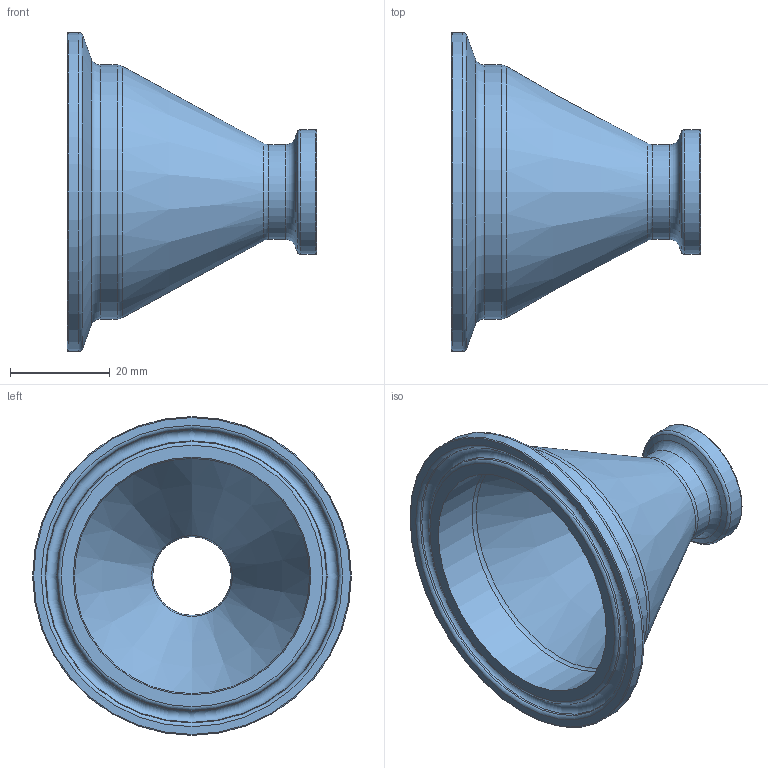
import cadquery as cq
import math

LENGTH = 50.0
WALL = 1.65
LARGE_TUBE_RADIUS = 25.5
SMALL_TUBE_RADIUS = 9.525
LARGE_BORE_RADIUS = LARGE_TUBE_RADIUS - WALL
SMALL_BORE_RADIUS = SMALL_TUBE_RADIUS - WALL

LARGE_FLANGE_RADIUS = 32.0
SMALL_FLANGE_RADIUS = 12.5
LARGE_RIM_WIDTH = 2.85
SMALL_RIM_WIDTH = 3.7
CLAMP_ANGLE = math.radians(20)
LARGE_RIM_FILLET = 0.85
SMALL_RIM_FILLET = 0.7
NECK_FILLET = 2.0
FACE_EDGE_FILLET = 0.2

CONE_START = 10.5
CONE_END = 39.9
CONE_FILLET = 2.0

GROOVE_RADIUS = 28.25
GROOVE_FLANK_ANGLE = math.radians(70)
GROOVE_MOUTH_HALF_WIDTH = 1.44
GROOVE_LIP_FILLET = 0.8
GROOVE_FLOOR_FILLET = 1.2
GROOVE_V_DEPTH = GROOVE_MOUTH_HALF_WIDTH * math.tan(GROOVE_FLANK_ANGLE)

CONE_ANGLE = math.atan2(LARGE_TUBE_RADIUS - SMALL_TUBE_RADIUS, CONE_END - CONE_START)
INNER_CONE_SHIFT = WALL * math.tan(CONE_ANGLE / 2)


def neck_position(rim_width, flange_radius, tube_radius):
    """Distance from a ferrule face to the sharp corner of clamp flank and tube."""
    return rim_width + (flange_radius - tube_radius) * math.tan(CLAMP_ANGLE)


def groove_corners():
    """Gasket groove corners, from the inner lip outwards."""
    return [
        (0, GROOVE_RADIUS - GROOVE_MOUTH_HALF_WIDTH, GROOVE_LIP_FILLET),
        (GROOVE_V_DEPTH, GROOVE_RADIUS, GROOVE_FLOOR_FILLET),
        (0, GROOVE_RADIUS + GROOVE_MOUTH_HALF_WIDTH, GROOVE_LIP_FILLET),
    ]


def outer_corners():
    """Outside corners from the large face to the small face."""
    large_neck = neck_position(LARGE_RIM_WIDTH, LARGE_FLANGE_RADIUS, LARGE_TUBE_RADIUS)
    small_neck = neck_position(SMALL_RIM_WIDTH, SMALL_FLANGE_RADIUS, SMALL_TUBE_RADIUS)
    return [
        (0, LARGE_FLANGE_RADIUS, FACE_EDGE_FILLET),
        (LARGE_RIM_WIDTH, LARGE_FLANGE_RADIUS, LARGE_RIM_FILLET),
        (large_neck, LARGE_TUBE_RADIUS, NECK_FILLET),
        (CONE_START, LARGE_TUBE_RADIUS, CONE_FILLET),
        (CONE_END, SMALL_TUBE_RADIUS, CONE_FILLET),
        (LENGTH - small_neck, SMALL_TUBE_RADIUS, NECK_FILLET),
        (LENGTH - SMALL_RIM_WIDTH, SMALL_FLANGE_RADIUS, SMALL_RIM_FILLET),
        (LENGTH, SMALL_FLANGE_RADIUS, FACE_EDGE_FILLET),
    ]


def bore_corners():
    """Bore corners from the small face back to the large face."""
    return [
        (LENGTH, SMALL_BORE_RADIUS, 0),
        (CONE_END - INNER_CONE_SHIFT, SMALL_BORE_RADIUS, CONE_FILLET),
        (CONE_START - INNER_CONE_SHIFT, LARGE_BORE_RADIUS, CONE_FILLET),
        (0, LARGE_BORE_RADIUS, 0),
    ]


def rounded_corner(before, corner, after):
    """Start, middle and end points of the tangent arc that rounds a corner."""
    here = cq.Vector(corner[0], corner[1])
    to_before = (cq.Vector(before[0], before[1]) - here).normalized()
    to_after = (cq.Vector(after[0], after[1]) - here).normalized()
    fillet = corner[2]
    half_angle = to_before.getAngle(to_after) / 2
    setback = fillet / math.tan(half_angle)
    middle_distance = fillet / math.sin(half_angle) - fillet
    bisector = (to_before + to_after).normalized()
    points = (
        here + to_before * setback,
        here + bisector * middle_distance,
        here + to_after * setback,
    )
    return [(point.x, point.y) for point in points]


def revolved_body(corners):
    """Closed outline of (x, radius, fillet) corners, turned about the X axis."""
    outline = cq.Workplane("XZ").moveTo(*corners[-1][:2])
    for index in range(len(corners) - 1):
        corner = corners[index]
        if corner[2] > 0:
            start, middle, end = rounded_corner(corners[index - 1], corner, corners[index + 1])
            outline = outline.lineTo(*start).threePointArc(middle, end)
        else:
            outline = outline.lineTo(*corner[:2])
    return outline.close().revolve(360, (0, 0, 0), (1, 0, 0))


result = revolved_body(groove_corners() + outer_corners() + bore_corners())